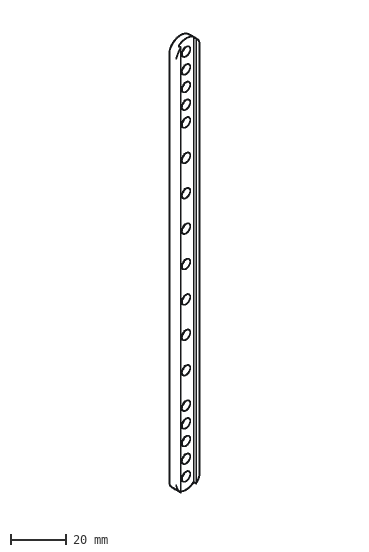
import cadquery as cq

length = 204.0
width = 12.0
thickness = 4.0
channel_width = 7.8
channel_depth = 1.2
edge_radius = 0.5
hole_diameter = 4.3

pitch_count = 24
end_radius = width / 2
hole_pitch = (length - width) / pitch_count
close_pitch_steps = 4


def rounded_bar():
    """Rectangular bar with its four long edges rounded."""
    return cq.Workplane("XY").box(thickness, width, length).edges("|Z").fillet(edge_radius)


def rounded_outline():
    """Full-thickness solid with semicircular ends, used to trim the bar."""
    return (
        cq.Workplane("YZ")
        .slot2D(length, 2 * end_radius, angle=90)
        .extrude(thickness / 2, both=True)
    )


def back_channel():
    """Channel running the whole length of the +X face."""
    channel_center_x = (thickness - channel_depth) / 2
    return (
        cq.Workplane("XY")
        .box(channel_depth, channel_width, length)
        .translate((channel_center_x, 0, 0))
    )


def hole_positions():
    """Centres along Z: every pitch near the ends, every second pitch between."""
    positions = []
    for step in range(pitch_count + 1):
        near_end = min(step, pitch_count - step) <= close_pitch_steps
        if near_end or step % 2 == 0:
            positions.append((0, (step - pitch_count / 2) * hole_pitch))
    return positions


def through_holes():
    return (
        cq.Workplane("YZ")
        .pushPoints(hole_positions())
        .circle(hole_diameter / 2)
        .extrude(thickness / 2, both=True)
    )


result = rounded_bar().intersect(rounded_outline()).cut(back_channel()).cut(through_holes())